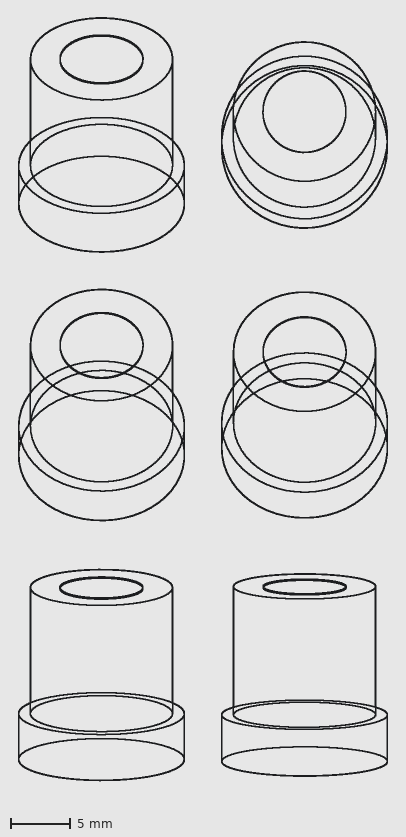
import cadquery as cq

total_height = 15.0
flange_diameter = 14.0
flange_height = 4.0
body_diameter = 12.0
recess_diameter = 7.0
recess_depth = 0.1

flange = cq.Workplane("XY").circle(flange_diameter / 2).extrude(flange_height)

body = cq.Workplane("XY").circle(body_diameter / 2).extrude(total_height)

recess = (
    cq.Workplane("XY")
    .workplane(offset=total_height - recess_depth)
    .circle(recess_diameter / 2)
    .extrude(recess_depth)
)

result = flange.union(body).cut(recess)